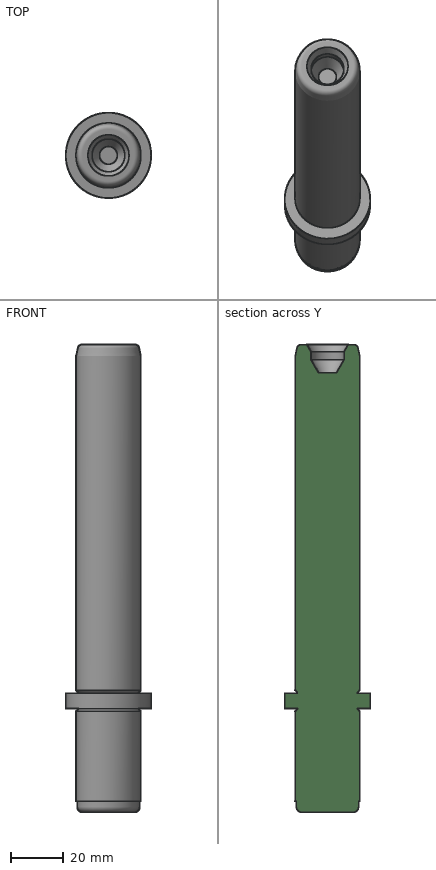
import cadquery as cq
import math

length = 180.0
shaft_radius = 25.0 / 2
flange_radius = 33.0 / 2
flange_bottom = 40.0
flange_thickness = 6.0
flange_top = flange_bottom + flange_thickness

groove_radius = 11.5
groove_width = 1.0

bottom_lead_radius = 12.0
bottom_lead_length = 4.3
bottom_round = 2.2

top_chamfer_start = length - 4.5
top_chamfer_end = length - 3.6
top_flat = 10.0
top_round = 1.8
top_taper = math.radians(12)

mouth_radius = 8.0
bore_radius = 6.3
bore_depth = 3.0
floor_radius = 3.5
cone_half_angle = math.radians(30)


def round_point(center_r, center_z, radius, angle):
    """Point on a rounded edge; the angle is measured from the outward radial direction."""
    return center_r + radius * math.cos(angle), center_z + radius * math.sin(angle)


def pin_body():
    """Revolve the stepped outer profile around Z."""
    bottom_flat = bottom_lead_radius - bottom_round
    top_round_center = length - top_round
    top_round_start = round_point(top_flat, top_round_center, top_round, top_taper)
    top_round_middle_angle = (top_taper + math.pi / 2) / 2
    taper_drop = top_round_start[1] - top_chamfer_end
    top_lead_radius = top_round_start[0] + taper_drop * math.tan(top_taper)
    profile = (
        cq.Workplane("XZ")
        .moveTo(0, 0)
        .lineTo(bottom_flat, 0)
        .threePointArc(
            round_point(bottom_flat, bottom_round, bottom_round, -math.pi / 4),
            (bottom_lead_radius, bottom_round),
        )
        .lineTo(bottom_lead_radius, bottom_lead_length)
        .lineTo(shaft_radius, bottom_lead_length)
        .lineTo(shaft_radius, flange_bottom - groove_width)
        .lineTo(groove_radius, flange_bottom)
        .lineTo(flange_radius, flange_bottom)
        .lineTo(flange_radius, flange_top)
        .lineTo(groove_radius, flange_top)
        .lineTo(shaft_radius, flange_top + groove_width)
        .lineTo(shaft_radius, top_chamfer_start)
        .lineTo(top_lead_radius, top_chamfer_end)
        .lineTo(*top_round_start)
        .threePointArc(
            round_point(top_flat, top_round_center, top_round, top_round_middle_angle),
            (top_flat, length),
        )
        .lineTo(0, length)
        .close()
    )
    return profile.revolve(360, (0, 0, 0), (0, 1, 0))


def centre_hole():
    """Stepped cavity cut down from the top face."""
    bore_top = length - (mouth_radius - bore_radius) / math.tan(cone_half_angle)
    bore_bottom = bore_top - bore_depth
    floor_z = bore_bottom - (bore_radius - floor_radius) / math.tan(cone_half_angle)
    profile = (
        cq.Workplane("XZ")
        .moveTo(0, length)
        .lineTo(mouth_radius, length)
        .lineTo(bore_radius, bore_top)
        .lineTo(bore_radius, bore_bottom)
        .lineTo(floor_radius, floor_z)
        .lineTo(0, floor_z)
        .close()
    )
    return profile.revolve(360, (0, 0, 0), (0, 1, 0))


result = pin_body().cut(centre_hole())